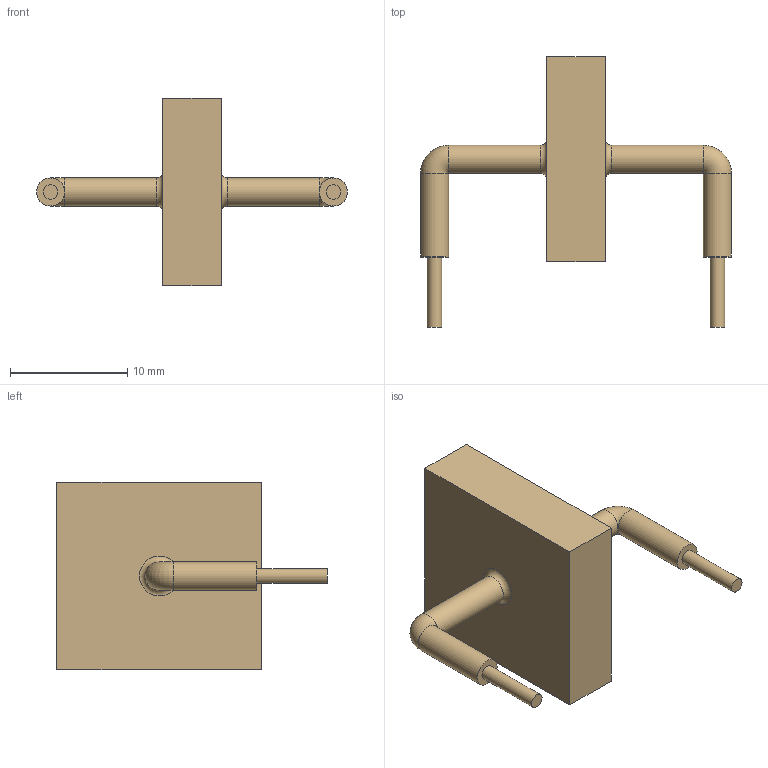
import cadquery as cq

body_x = 5.0
body_y = 17.5
body_z = 16.0

overall_x = 26.55
sheath_diameter = 2.4
wire_diameter = 1.25
wire_length = 6.0
wire_end_y = -14.34
bend_inside_radius = 0.01
collar_fillet = 0.5

sheath_radius = sheath_diameter / 2
wire_radius = wire_diameter / 2
body_face_x = body_x / 2
lead_x = overall_x / 2 - sheath_radius
bend_radius = sheath_radius + bend_inside_radius
bend_start_x = lead_x - bend_radius
bend_end_y = -bend_radius
sheath_end_y = wire_end_y + wire_length


def make_body():
    return cq.Workplane("XY").box(body_x, body_y, body_z)


def make_collar():
    """Concave flare around the sheath, revolved about the X axis."""
    flare_end_x = body_face_x + collar_fillet
    flare_radius = sheath_radius + collar_fillet
    arc_offset = collar_fillet * (1 - 0.5**0.5)
    return (
        cq.Workplane("XY")
        .moveTo(body_face_x, 0)
        .lineTo(body_face_x, flare_radius)
        .threePointArc(
            (body_face_x + arc_offset, sheath_radius + arc_offset),
            (flare_end_x, sheath_radius),
        )
        .lineTo(flare_end_x, 0)
        .close()
        .revolve(360, (0, 0, 0), (1, 0, 0))
    )


def make_sheath():
    """Straight run out of the body, a quarter bend, then a straight run toward -Y."""
    out_run = (
        cq.Workplane("YZ", origin=(body_face_x, 0, 0))
        .circle(sheath_radius)
        .extrude(bend_start_x - body_face_x)
    )
    bend = (
        cq.Workplane("YZ", origin=(bend_start_x, 0, 0))
        .circle(sheath_radius)
        .revolve(90, (-bend_radius, 0, 0), (-bend_radius, -1, 0))
    )
    end_run = (
        cq.Workplane("XZ", origin=(lead_x, bend_end_y, 0))
        .circle(sheath_radius)
        .extrude(bend_end_y - sheath_end_y)
    )
    return out_run.union(bend).union(end_run)


def make_wire():
    """Bare conductor projecting from the sheath end."""
    return (
        cq.Workplane("XZ", origin=(lead_x, sheath_end_y, 0))
        .circle(wire_radius)
        .extrude(wire_length)
    )


lead = make_sheath().union(make_collar()).union(make_wire())
result = make_body().union(lead).union(lead.mirror("YZ"))